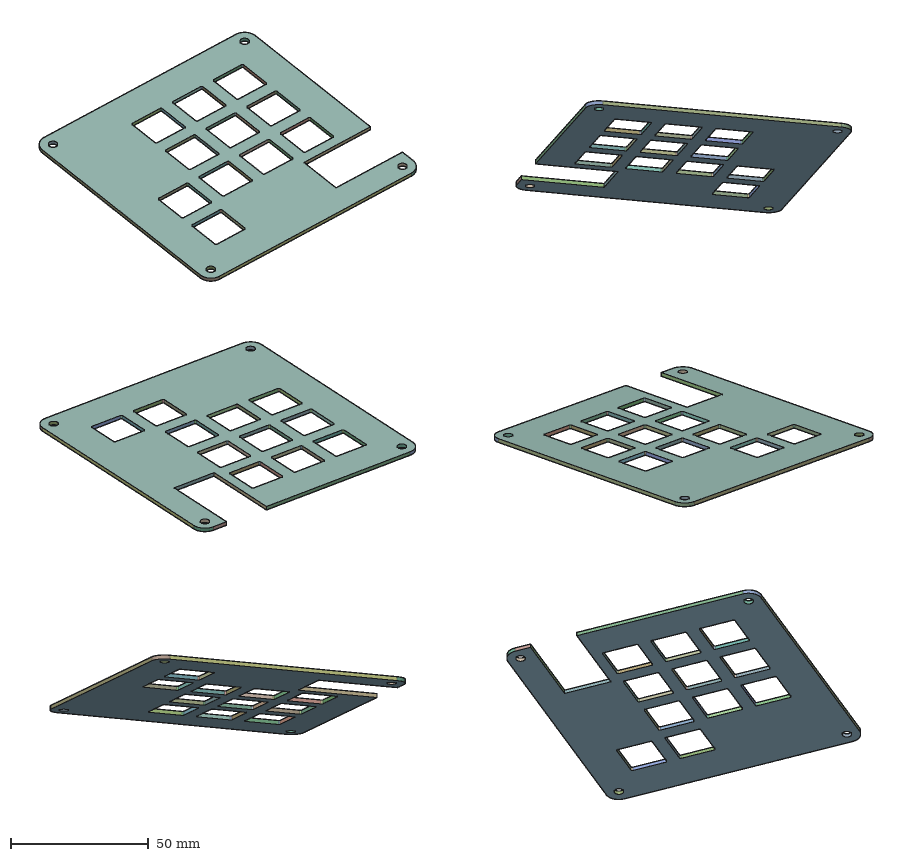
import cadquery as cq

plate_side = 100.0
plate_thickness = 1.5
corner_radius = 5.0

mount_hole_diameter = 3.4
mount_hole_spacing = plate_side - 2 * corner_radius

key_side = 14.0
key_corner_radius = 0.5
key_pitch = 19.1
grid_size = 4
grid_center_y = 0.7
keys_in_row = [(0, 1, 2), (0, 1, 2), (0, 1, 2), (2, 3)]

notch_left = 20.7
notch_width = 18.2
notch_depth = 31.2


def make_plate():
    """Flat square plate with rounded corners and a mounting hole in each corner."""
    plate = cq.Workplane("XY").rect(plate_side, plate_side).extrude(plate_thickness)
    plate = plate.edges("|Z").fillet(corner_radius)
    return (
        plate.faces(">Z")
        .workplane()
        .rect(mount_hole_spacing, mount_hole_spacing, forConstruction=True)
        .vertices()
        .hole(mount_hole_diameter)
    )


def key_centers():
    """Centres of the filled places in the key grid."""
    half_span = (grid_size - 1) * key_pitch / 2
    return [
        (column * key_pitch - half_span, grid_center_y + half_span - row * key_pitch)
        for row, columns in enumerate(keys_in_row)
        for column in columns
    ]


def make_key_cutters():
    """Square prisms with slightly rounded corners, one for each key."""
    cutters = cq.Workplane("XY").pushPoints(key_centers()).rect(key_side, key_side)
    return cutters.extrude(plate_thickness).edges("|Z").fillet(key_corner_radius)


def make_notch_cutter():
    """Block that opens the notch through the +Y edge."""
    notch_bottom = plate_side / 2 - notch_depth
    return cq.Workplane("XY").box(
        notch_width, notch_depth, plate_thickness, centered=False
    ).translate((notch_left, notch_bottom, 0))


result = make_plate().cut(make_key_cutters()).cut(make_notch_cutter())